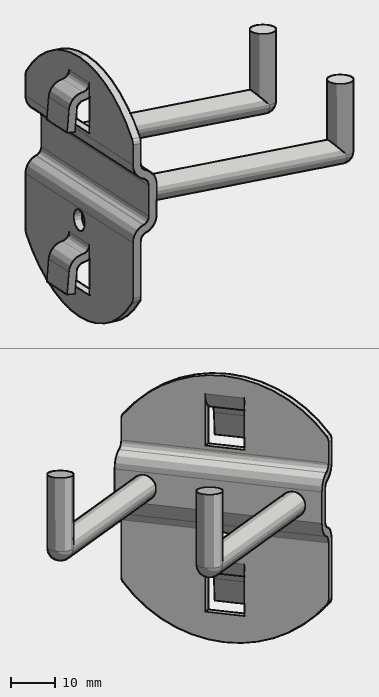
import cadquery as cq
import math

thickness = 2.05
inner_bend_radius = 2.0
bend_radius = inner_bend_radius + thickness / 2

plate_width = 50.2
plate_height = 62.5
end_arc_radius = 32.15
corner_radius = 2.0

band_center_z = 4.2
band_flat_height = 7.4
band_bend_angle = 71.0
band_bend_height = 2 * bend_radius * math.sin(math.radians(band_bend_angle))
band_offset = 2 * bend_radius * (1 - math.cos(math.radians(band_bend_angle)))

hole_diameter = 5.0
hole_z = -8.05

window_width = 9.5
window_height = 12.2
upper_window_top = 26.6
hook_spacing = 39.0
hook_bend_angle = 83.0
hook_tip_angle = 5.0
hook_tip_length = 5.4

hook_reach = (
    bend_radius * (1 - math.cos(math.radians(hook_bend_angle)))
    + bend_radius * (math.cos(math.radians(hook_tip_angle)) - math.cos(math.radians(hook_bend_angle)))
    + hook_tip_length * math.sin(math.radians(hook_tip_angle))
    + thickness / 2 * (math.cos(math.radians(hook_tip_angle)) - 1)
)

overall_depth = 65.9
rod_diameter = 6.0
rod_spacing = 36.1
rod_axis_y = overall_depth - hook_reach - rod_diameter / 2
rod_top_z = 21.4


def bent_strip(start, heading, segments, width):
    """Extrude a bent sheet strip of the given width, centred on X = 0.

    The mid-thickness path starts at (Y, Z) with a heading in degrees from +Y.
    Each segment is (length, 0) for a flat or (radius, turn) for a bend,
    where a positive turn goes counterclockwise in the YZ plane.
    """
    def side_point(center, angle, offset):
        normal = math.radians(angle + 90)
        return (center[0] + offset * math.cos(normal), center[1] + offset * math.sin(normal))

    half = thickness / 2
    stations = [(start, heading)]
    middles = []
    for size, turn in segments:
        center, angle = stations[-1]
        if turn == 0:
            end = side_point(center, angle - 90, size)
            middles.append(None)
        else:
            radius = math.copysign(size, turn)
            pivot = side_point(center, angle, radius)
            middle_angle = angle + turn / 2
            middles.append((side_point(pivot, middle_angle, -radius), middle_angle))
            end = side_point(pivot, angle + turn, -radius)
        stations.append((end, angle + turn))

    def trace(outline, ends, arc_middles, offset):
        for (center, angle), middle in zip(ends, arc_middles):
            end = side_point(center, angle, offset)
            if middle is None:
                outline = outline.lineTo(*end)
            else:
                outline = outline.threePointArc(side_point(*middle, offset), end)
        return outline

    outline = cq.Workplane("YZ").moveTo(*side_point(*stations[0], half))
    outline = trace(outline, stations[1:], middles, half)
    outline = outline.lineTo(*side_point(*stations[-1], -half))
    outline = trace(outline, stations[-2::-1], middles[::-1], -half)
    return outline.close().extrude(width / 2, both=True)


def make_plate():
    half_height = plate_height / 2
    half_width = plate_width / 2
    band_reach = band_flat_height / 2 + band_bend_height
    outward = (bend_radius, -band_bend_angle)
    inward = (bend_radius, band_bend_angle)
    segments = [
        (half_height + band_center_z - band_reach, 0),
        outward,
        inward,
        (band_flat_height, 0),
        inward,
        outward,
        (half_height - band_center_z - band_reach, 0),
    ]
    sheet = bent_strip((thickness / 2, -half_height), 90, segments, plate_width)

    arc_rise = end_arc_radius - math.sqrt(end_arc_radius**2 - half_width**2)
    corner_z = half_height - arc_rise
    depth = thickness + band_offset
    outline = (
        cq.Workplane("XZ")
        .moveTo(-half_width, -corner_z)
        .lineTo(-half_width, corner_z)
        .threePointArc((0, half_height), (half_width, corner_z))
        .lineTo(half_width, -corner_z)
        .threePointArc((0, -half_height), (-half_width, -corner_z))
        .close()
        .extrude(-depth)
        .edges("|Y")
        .fillet(corner_radius)
    )
    return sheet.intersect(outline)


def make_window(top_z):
    return cq.Workplane("XY").box(
        window_width, 2 * thickness, window_height
    ).translate((0, thickness / 2, top_z - window_height / 2))


def make_hook(top_z):
    segments = [
        (bend_radius, -hook_bend_angle),
        (bend_radius, hook_bend_angle - hook_tip_angle),
        (hook_tip_length, 0),
    ]
    return bent_strip((thickness / 2, top_z), -90, segments, window_width)


def make_rod(x):
    radius = rod_diameter / 2
    root_y = band_offset + thickness / 2
    arm = (
        cq.Workplane("XZ", origin=(x, root_y, band_center_z))
        .circle(radius)
        .extrude(root_y - rod_axis_y)
    )
    elbow_center = (x, rod_axis_y, band_center_z)
    upright = cq.Workplane("XY", origin=elbow_center).circle(radius).extrude(rod_top_z - band_center_z)
    elbow = cq.Workplane("XY", origin=elbow_center).sphere(radius)
    return arm.union(upright).union(elbow)


result = make_plate()

hole = cq.Workplane("XZ", origin=(0, 0, hole_z)).circle(hole_diameter / 2).extrude(-thickness)
result = result.cut(hole)

for window_top in (upper_window_top, upper_window_top - hook_spacing):
    result = result.cut(make_window(window_top)).union(make_hook(window_top))

for rod_x in (-rod_spacing / 2, rod_spacing / 2):
    result = result.union(make_rod(rod_x))